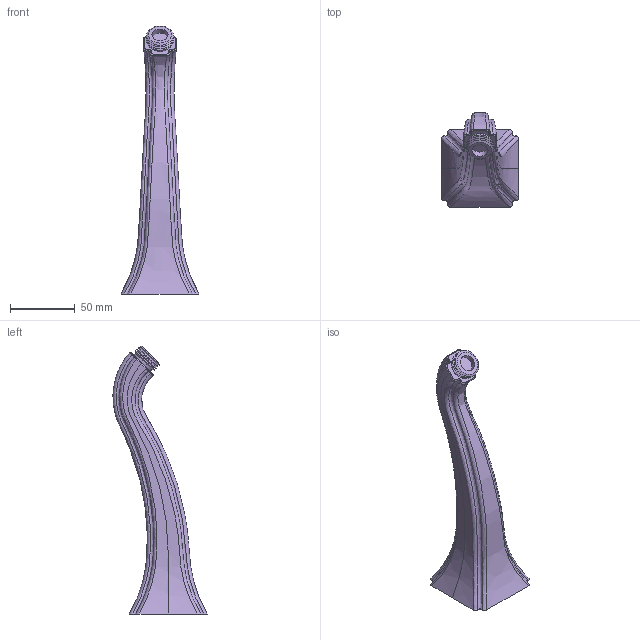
import cadquery as cq
import math

BASE_HALF = 29.97
TAPER_START_HALF = 16.5
NECK_HALF = 10.7
END_HALF = 12.7
CAP_BEVEL = 0.7

CORNER_LENGTH = 7.5
BEAD_RADIUS = 2.55
GROOVE_BOTTOM = 4.6
SIN_45 = math.sin(math.radians(45))
BEAD_CROWN_FAR = CORNER_LENGTH - BEAD_RADIUS * SIN_45
BEAD_CROWN_NEAR = BEAD_RADIUS * (1 - SIN_45)
BEAD_END_FAR = CORNER_LENGTH - BEAD_RADIUS

FLARE_HEIGHT = 45.0
VERTICAL_LENGTH = 46.2
LEAN_RADIUS = 205.0
LEAN_ANGLE = math.radians(29)
LEAN_LINE_LENGTH = 2.3
HOOK_RADIUS = 37.7
HOOK_END_ANGLE = math.radians(45)

LEAN_ARC_LENGTH = LEAN_RADIUS * LEAN_ANGLE
LEAN_LINE_START = VERTICAL_LENGTH + LEAN_ARC_LENGTH
HOOK_START = LEAN_LINE_START + LEAN_LINE_LENGTH
HOOK_LENGTH = HOOK_RADIUS * (LEAN_ANGLE + HOOK_END_ANGLE)
BODY_LENGTH = HOOK_START + HOOK_LENGTH

FLARE_STEPS = 5
TAPER_STEPS = 6
HOOK_STEPS = 7

THREAD_PITCH = 1.814
THREAD_COUNT = 4
CREST_RADIUS = 10.48
ROOT_RADIUS = 9.0
RELIEF_LENGTH = 2.0
STUD_LENGTH = RELIEF_LENGTH + THREAD_COUNT * THREAD_PITCH
BORE_RADIUS = 6.2
BORE_DEPTH = 4.5


def centreline(distance):
    """Y, Z and lean (radians from vertical towards +Y) at a distance along the centreline."""
    lean = min(max(distance - VERTICAL_LENGTH, 0.0) / LEAN_RADIUS, LEAN_ANGLE)
    y = LEAN_RADIUS * (1 - math.cos(lean))
    z = min(distance, VERTICAL_LENGTH) + LEAN_RADIUS * math.sin(lean)

    along_line = min(max(distance - LEAN_LINE_START, 0.0), LEAN_LINE_LENGTH)
    y += along_line * math.sin(lean)
    z += along_line * math.cos(lean)

    hook_lean = lean - max(distance - HOOK_START, 0.0) / HOOK_RADIUS
    y += HOOK_RADIUS * (math.cos(hook_lean) - math.cos(lean))
    z += HOOK_RADIUS * (math.sin(lean) - math.sin(hook_lean))
    return y, z, hook_lean


def half_side(distance):
    """Half side of the section: circular flare, straight taper, then widening along the hook."""
    taper = (TAPER_START_HALF - NECK_HALF) / (HOOK_START - FLARE_HEIGHT)
    if distance < FLARE_HEIGHT:
        top_angle = math.atan(taper)
        chord_angle = math.atan((BASE_HALF - TAPER_START_HALF) / FLARE_HEIGHT)
        base_angle = 2 * chord_angle - top_angle
        radius = FLARE_HEIGHT / (math.sin(base_angle) - math.sin(top_angle))
        angle = math.asin(math.sin(base_angle) - distance / radius)
        return BASE_HALF - radius * (math.cos(angle) - math.cos(base_angle))
    if distance < HOOK_START:
        return TAPER_START_HALF - taper * (distance - FLARE_HEIGHT)
    hook_fraction = (distance - HOOK_START) / HOOK_LENGTH
    return NECK_HALF + (END_HALF - NECK_HALF) * hook_fraction**2


def section_plane(distance):
    """Plane square to the centreline: local x is X, local z runs along the centreline."""
    y, z, lean = centreline(distance)
    return cq.Plane(origin=(0, y, z), xDir=(1, 0, 0), normal=(0, math.sin(lean), math.cos(lean)))


def section_wire(plane, half):
    """Square outline with a bead, a groove and a bead at each corner."""

    def corner_points(quarter):
        """Corner points, counter-clockwise, turned by a number of quarter turns."""
        points = [
            (half, half - CORNER_LENGTH),
            (half - BEAD_CROWN_NEAR, half - BEAD_CROWN_FAR),
            (half - BEAD_RADIUS, half - BEAD_END_FAR),
            (half - GROOVE_BOTTOM, half - GROOVE_BOTTOM),
            (half - BEAD_END_FAR, half - BEAD_RADIUS),
            (half - BEAD_CROWN_FAR, half - BEAD_CROWN_NEAR),
            (half - CORNER_LENGTH, half),
        ]
        for _ in range(quarter):
            points = [(-v, u) for u, v in points]
        return points

    sketch = cq.Workplane(plane).moveTo(half, 0)
    for quarter in range(4):
        points = corner_points(quarter)
        sketch = sketch.lineTo(*points[0])
        for middle in (1, 3, 5):
            sketch = sketch.threePointArc(points[middle], points[middle + 1])
        if quarter == 1:
            sketch = sketch.lineTo(-half, 0)
    return sketch.close().val()


def evenly_spaced(start, length, steps):
    """Distances from the start of a stretch, leaving out its end."""
    return [start + length * step / steps for step in range(steps)]


def make_body():
    """Lofted body from the foot to the end of the hook."""
    distances = evenly_spaced(0, FLARE_HEIGHT, FLARE_STEPS)
    distances += evenly_spaced(FLARE_HEIGHT, HOOK_START - FLARE_HEIGHT, TAPER_STEPS)
    distances += evenly_spaced(HOOK_START, HOOK_LENGTH, HOOK_STEPS)
    distances.append(BODY_LENGTH)
    wires = [section_wire(section_plane(d), half_side(d)) for d in distances]
    return cq.Workplane(cq.Solid.makeLoft(wires))


def make_cap(end_plane):
    """Thin bevelled end of the body."""
    outer_origin = end_plane.toWorldCoords((0, 0, CAP_BEVEL))
    outer_plane = cq.Plane(outer_origin, end_plane.xDir, end_plane.zDir)
    inner_wire = section_wire(end_plane, END_HALF)
    outer_wire = section_wire(outer_plane, END_HALF - CAP_BEVEL)
    return cq.Workplane(cq.Solid.makeLoft([inner_wire, outer_wire], True))


def make_stud(end_plane):
    """Stud with a plain relief, ring-shaped thread crests and a blind bore."""
    stud_start = CAP_BEVEL
    stud_end = stud_start + STUD_LENGTH
    profile = cq.Workplane("XZ").moveTo(0, 0).lineTo(ROOT_RADIUS, 0)
    profile = profile.lineTo(ROOT_RADIUS, stud_start + RELIEF_LENGTH)
    for crest in range(THREAD_COUNT):
        root = stud_start + RELIEF_LENGTH + crest * THREAD_PITCH
        profile = profile.lineTo(CREST_RADIUS, root + THREAD_PITCH / 2)
        profile = profile.lineTo(ROOT_RADIUS, root + THREAD_PITCH)
    stud = profile.lineTo(0, stud_end).close().revolve(360, (0, 0, 0), (0, 1, 0))
    bore = cq.Workplane("XY", origin=(0, 0, stud_end - BORE_DEPTH)).circle(BORE_RADIUS).extrude(BORE_DEPTH)
    return cq.Workplane(stud.cut(bore).val().moved(end_plane.location))


end_plane = section_plane(BODY_LENGTH)
result = make_body().union(make_cap(end_plane)).union(make_stud(end_plane))